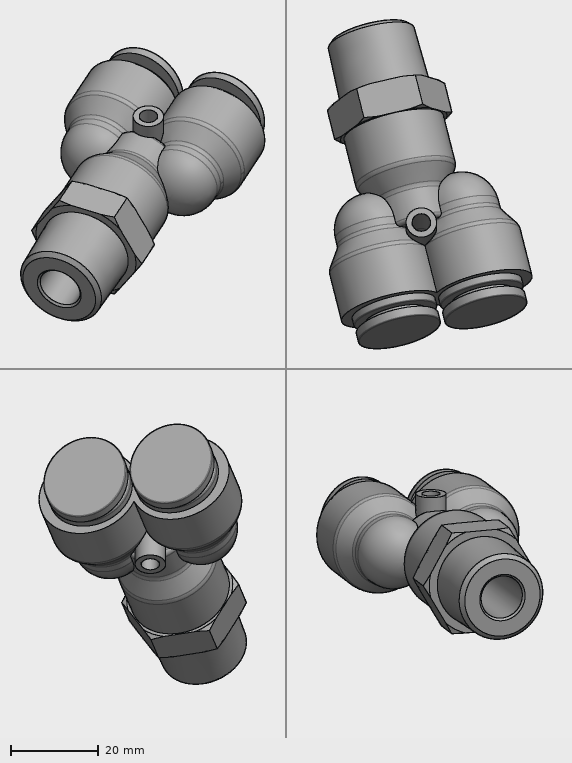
import cadquery as cq
import math


BODY_RADIUS = 23.5 / 2
NECK_RADIUS = 17.0 / 2
TAPER_LENGTH = 5.0
TAPER_BLEND_RADIUS = 2.0

HEX_ACROSS_FLATS = 24.0
HEX_LENGTH = 8.0
HEX_CHAMFER_RADIUS = 12.55
HEX_CHAMFER_LENGTH = 0.45
THREAD_LENGTH = 15.0
THREAD_BASE_RADIUS = 21.2 / 2
THREAD_TAPER = 1 / 16
THREAD_CHAMFER = 1.0
BORE_RADIUS = 10.0 / 2
BORE_CHAMFER = 0.5
STUD_LENGTH = THREAD_LENGTH + HEX_LENGTH

TRUNK_TAPER_START_Y = 35.1
TRUNK_END_Y = 48.1
TRUNK_END_BLEND = 1.0

OVERALL_WIDTH = 45.0
BRANCH_X = OVERALL_WIDTH / 2 - BODY_RADIUS
BRANCH_END_Y = 65.1
BRANCH_TAPER_END_Y = 53.0
DOME_CENTER_Y = 45.6

BOSS_Y = 50.0
BOSS_RADIUS = 7.0 / 2
BOSS_HOLE_RADIUS = 4.2 / 2

PORT_X = 10.2
COLLAR_RADIUS = 19.6 / 2
COLLAR_LENGTH = 1.8
STEM_RADIUS = 14.2 / 2
CAP_WIDTH = 19.4
CAP_HEIGHT = 22.5
CAP_THICKNESS = 2.2
OVERALL_LENGTH = 70.9
EDGE_BREAK = 0.2
CAP_START_Y = OVERALL_LENGTH - CAP_THICKNESS


def cylinder(radius, y_start, y_end, x=0.0):
    """Cylinder parallel to Y between two y positions."""
    length = y_end - y_start
    return cq.Workplane(cq.Solid.makeCylinder(radius, length, cq.Vector(x, y_start, 0), cq.Vector(0, 1, 0)))


def make_cone(start_radius, end_radius, y_start, y_end):
    """Cone frustum on the Y axis between two y positions."""
    length = y_end - y_start
    start = cq.Vector(0, y_start, 0)
    return cq.Workplane(cq.Solid.makeCone(start_radius, end_radius, length, start, cq.Vector(0, 1, 0)))


def revolve_about_y(profile):
    """Full turn of a closed XY profile about the Y axis."""
    return profile.revolve(360, (0, 0, 0), (0, 1, 0))


def blend_taper(shape, taper_start_y, taper_end_y):
    """Round the two circular edges at the ends of a taper."""
    margin = 0.1
    band = cq.selectors.BoxSelector(
        (-BODY_RADIUS, taper_start_y - margin, -BODY_RADIUS),
        (BODY_RADIUS, taper_end_y + margin, BODY_RADIUS),
    )
    return shape.edges("%CIRCLE").edges(band).fillet(TAPER_BLEND_RADIUS)


def make_trunk():
    taper_end_y = TRUNK_TAPER_START_Y + TAPER_LENGTH
    profile = (
        cq.Workplane("XY")
        .moveTo(0, STUD_LENGTH)
        .lineTo(BODY_RADIUS, STUD_LENGTH)
        .lineTo(BODY_RADIUS, TRUNK_TAPER_START_Y)
        .lineTo(NECK_RADIUS, taper_end_y)
        .lineTo(NECK_RADIUS, TRUNK_END_Y)
        .lineTo(0, TRUNK_END_Y)
        .close()
    )
    trunk = blend_taper(revolve_about_y(profile), TRUNK_TAPER_START_Y, taper_end_y)
    return trunk.faces(">Y").edges().fillet(TRUNK_END_BLEND)


def make_branch(side):
    taper_start_y = BRANCH_TAPER_END_Y - TAPER_LENGTH
    dome_mid = NECK_RADIUS * math.sqrt(0.5)
    profile = (
        cq.Workplane("XY")
        .moveTo(0, DOME_CENTER_Y - NECK_RADIUS)
        .threePointArc((dome_mid, DOME_CENTER_Y - dome_mid), (NECK_RADIUS, DOME_CENTER_Y))
        .lineTo(NECK_RADIUS, taper_start_y)
        .lineTo(BODY_RADIUS, BRANCH_TAPER_END_Y)
        .lineTo(BODY_RADIUS, BRANCH_END_Y)
        .lineTo(0, BRANCH_END_Y)
        .close()
    )
    branch = blend_taper(revolve_about_y(profile), taper_start_y, BRANCH_TAPER_END_Y)
    return branch.translate((side * BRANCH_X, 0, 0))


def make_body():
    boss = cq.Workplane("XY").center(0, BOSS_Y).circle(BOSS_RADIUS).extrude(BODY_RADIUS, both=True)
    boss_hole = cq.Workplane("XY").center(0, BOSS_Y).circle(BOSS_HOLE_RADIUS).extrude(BODY_RADIUS, both=True)
    body = make_trunk()
    for side in (-1, 1):
        body = body.union(make_branch(side))
    return body.union(boss).cut(boss_hole)


def make_hexagon():
    """Hexagon with flats facing up and down and both ends turned conical at the corners."""
    corner_radius = HEX_ACROSS_FLATS / math.sqrt(3)
    prism = (
        cq.Workplane("XZ", origin=(0, STUD_LENGTH, 0))
        .polygon(6, 2 * corner_radius)
        .extrude(HEX_LENGTH)
    )
    turned_profile = (
        cq.Workplane("XY")
        .moveTo(0, THREAD_LENGTH)
        .lineTo(HEX_CHAMFER_RADIUS, THREAD_LENGTH)
        .lineTo(corner_radius, THREAD_LENGTH + HEX_CHAMFER_LENGTH)
        .lineTo(corner_radius, STUD_LENGTH - HEX_CHAMFER_LENGTH)
        .lineTo(HEX_CHAMFER_RADIUS, STUD_LENGTH)
        .lineTo(0, STUD_LENGTH)
        .close()
    )
    return prism.intersect(revolve_about_y(turned_profile))


def make_stud():
    tip_radius = THREAD_BASE_RADIUS - THREAD_LENGTH * THREAD_TAPER / 2
    thread = make_cone(tip_radius, THREAD_BASE_RADIUS, 0, THREAD_LENGTH)
    thread = thread.faces("<Y").edges().chamfer(THREAD_CHAMFER)
    bore = cylinder(BORE_RADIUS, 0, STUD_LENGTH)
    bore_entry = make_cone(BORE_RADIUS + BORE_CHAMFER, BORE_RADIUS, 0, BORE_CHAMFER)
    return thread.union(make_hexagon()).cut(bore).cut(bore_entry)


def make_collar(side):
    """Ring on the port face around the stem of the release button."""
    collar_end_y = BRANCH_END_Y + COLLAR_LENGTH
    x = side * PORT_X
    ring = cylinder(COLLAR_RADIUS, BRANCH_END_Y, collar_end_y, x)
    ring = ring.faces(">Y").edges().fillet(EDGE_BREAK)
    return ring.cut(cylinder(STEM_RADIUS, BRANCH_END_Y, collar_end_y, x))


def make_release_button(side):
    """Round stem through the collar, with an oval cap taller than it is wide."""
    x = side * PORT_X
    stem = cylinder(STEM_RADIUS, BRANCH_END_Y, CAP_START_Y, x)
    cap = (
        cq.Workplane("XZ", origin=(x, OVERALL_LENGTH, 0))
        .ellipse(CAP_WIDTH / 2, CAP_HEIGHT / 2)
        .extrude(CAP_THICKNESS)
        .faces(">Y")
        .edges()
        .fillet(EDGE_BREAK)
    )
    return stem.union(cap)


body = make_body()
stud = make_stud()
collars = [make_collar(side) for side in (-1, 1)]
release_buttons = [make_release_button(side) for side in (-1, 1)]

result = cq.Compound.makeCompound([
    body.val(),
    stud.val(),
    *[collar.val() for collar in collars],
    *[button.val() for button in release_buttons],
])